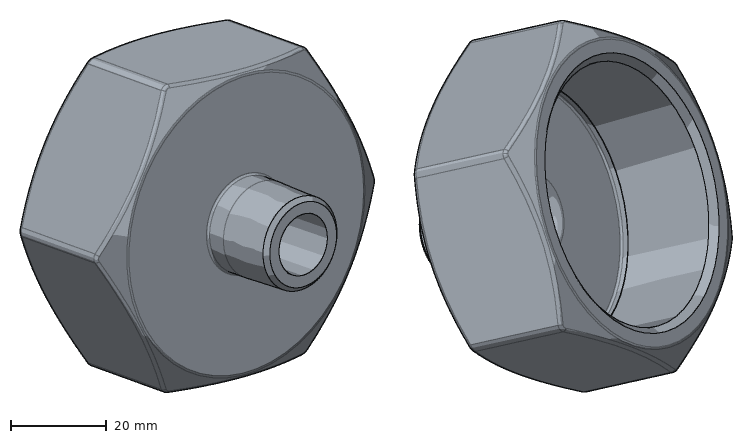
import cadquery as cq
import math

across_flats = 68.0
body_length = 31.0
corner_radius = 2.0
edge_radius = 1.0
chamfer_angle = 30.0
face_diameter = 66.0

bore_diameter = 56.6
relief_diameter = 56.9
relief_length = 1.8
bore_depth = 24.7
floor_radius = 0.5
bore_mouth_diameter = 59.7

total_length = 49.0
spigot_diameter = 21.3
spigot_straight_length = 4.8
spigot_end_diameter = 20.65
tip_chamfer = 1.0
root_radius = 0.5

hole_diameter = 13.5
hole_entry_radius = 2.0

across_corners = across_flats / math.cos(math.pi / 6)
overlap = 0.8
arc_middle = 1 - math.sqrt(0.5)


def chamfer_blank():
    """Round blank whose two 30 degree end cones trim the hexagon corners."""
    face_radius = face_diameter / 2
    outer_radius = across_corners / 2 + overlap
    cone_length = (outer_radius - face_radius) * math.tan(math.radians(chamfer_angle))
    return (
        cq.Workplane("XY")
        .moveTo(0, 0)
        .lineTo(0, face_radius)
        .lineTo(cone_length, outer_radius)
        .lineTo(body_length - cone_length, outer_radius)
        .lineTo(body_length, face_radius)
        .lineTo(body_length, 0)
        .close()
        .revolve(360, (0, 0, 0), (1, 0, 0))
    )


def hexagon_body():
    """Hexagon with flats facing +Z and -Z, rounded along every outer edge."""
    prism = (
        cq.Workplane("YZ")
        .polygon(6, across_corners)
        .extrude(body_length)
        .edges("|X")
        .fillet(corner_radius)
    )
    return prism.intersect(chamfer_blank()).edges("not |X").fillet(edge_radius)


def spigot():
    """Straight root, slight taper and chamfered tip."""
    spigot_start = body_length - overlap
    taper_start = body_length + spigot_straight_length
    return (
        cq.Workplane("XY")
        .moveTo(spigot_start, 0)
        .lineTo(spigot_start, spigot_diameter / 2)
        .lineTo(taper_start, spigot_diameter / 2)
        .lineTo(total_length - tip_chamfer, spigot_end_diameter / 2)
        .lineTo(total_length, spigot_end_diameter / 2 - tip_chamfer)
        .lineTo(total_length, 0)
        .close()
        .revolve(360, (0, 0, 0), (1, 0, 0))
    )


def cavity():
    """Bore with 45 degree mouth, relief, rounded floor, rounded hole entry and through hole."""
    bore_radius = bore_diameter / 2
    mouth_radius = bore_mouth_diameter / 2
    relief_radius = relief_diameter / 2
    hole_radius = hole_diameter / 2
    floor_offset = floor_radius * arc_middle
    entry_offset = hole_entry_radius * arc_middle
    return (
        cq.Workplane("XY")
        .moveTo(0, 0)
        .lineTo(0, mouth_radius)
        .lineTo(mouth_radius - bore_radius, bore_radius)
        .lineTo(bore_depth - relief_length, bore_radius)
        .lineTo(bore_depth - relief_length, relief_radius)
        .lineTo(bore_depth - floor_radius, relief_radius)
        .threePointArc(
            (bore_depth - floor_offset, relief_radius - floor_offset),
            (bore_depth, relief_radius - floor_radius),
        )
        .lineTo(bore_depth, hole_radius + hole_entry_radius)
        .threePointArc(
            (bore_depth + entry_offset, hole_radius + entry_offset),
            (bore_depth + hole_entry_radius, hole_radius),
        )
        .lineTo(total_length, hole_radius)
        .lineTo(total_length, 0)
        .close()
        .revolve(360, (0, 0, 0), (1, 0, 0))
    )


def spigot_root_edges():
    """Selects the circle where the spigot leaves the body."""
    margin = 0.1
    return cq.selectors.BoxSelector(
        (body_length - margin, -spigot_diameter, -spigot_diameter),
        (body_length + margin, spigot_diameter, spigot_diameter),
    )


nut = hexagon_body().union(spigot())
nut = nut.edges(spigot_root_edges()).fillet(root_radius)
result = nut.cut(cavity())